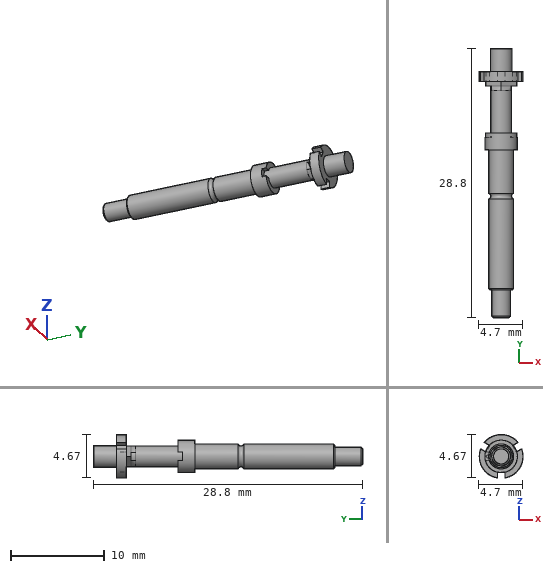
import cadquery as cq
import math

overall_length = 28.8

tip_diameter = 2.02
body_diameter = 2.68
groove_diameter = 2.25
collar_diameter = 3.48
neck_diameter = 2.25
tail_diameter = 2.33
flange_diameter = 4.7

tip_length = 3.0
tip_chamfer = 0.2
body_chamfer = 0.15
groove_start = 12.73
groove_width = 0.6
collar_front = 17.97
collar_length = 1.8
tail_length = 2.45
flange_thickness = 1.07
key_thickness = 0.5
transition_length = 0.45

collar_rear = collar_front + collar_length
flange_rear = overall_length - tail_length
flange_front = flange_rear - flange_thickness
key_front = flange_front - key_thickness
transition_front = key_front - transition_length
groove_end = groove_start + groove_width

collar_slot_width = 0.92
collar_slot_depth = 0.5

key_width = 3.35
key_height = neck_diameter

notch_count = 3
notch_width = 0.78
notch_floor_radius = 1.65
first_notch_angle = 30.0


def turned_shaft():
    """Solid of revolution from the tip to the end of the round neck."""
    tip_radius = tip_diameter / 2
    body_radius = body_diameter / 2
    collar_radius = collar_diameter / 2
    neck_radius = neck_diameter / 2
    profile = (
        cq.Workplane("XY")
        .lineTo(tip_radius - tip_chamfer, 0)
        .lineTo(tip_radius, tip_chamfer)
        .lineTo(tip_radius, tip_length)
        .lineTo(body_radius - body_chamfer, tip_length)
        .lineTo(body_radius, tip_length + body_chamfer)
        .lineTo(body_radius, groove_start)
        .threePointArc((groove_diameter / 2, groove_start + groove_width / 2), (body_radius, groove_end))
        .lineTo(body_radius, collar_front)
        .lineTo(collar_radius, collar_front)
        .lineTo(collar_radius, collar_rear)
        .lineTo(neck_radius, collar_rear)
        .lineTo(neck_radius, transition_front)
        .lineTo(0, transition_front)
        .close()
    )
    return profile.revolve(360, (0, 0), (0, 1))


def cross_section_plane(station):
    """Workplane across the axis at the given Y, extruding toward +Y, with local y along -Z."""
    return cq.Workplane(cq.Plane((0, station, 0), xDir=(1, 0, 0), normal=(0, 1, 0)))


def collar_slot():
    """Pair of slots through the collar wall on +X and -X, leaving the neck whole."""
    slot = (
        cross_section_plane(collar_rear - collar_slot_depth)
        .rect(collar_diameter, collar_slot_width)
        .extrude(collar_slot_depth)
    )
    neck = (
        cross_section_plane(collar_rear - collar_slot_depth)
        .circle(neck_diameter / 2)
        .extrude(collar_slot_depth)
    )
    return slot.cut(neck)


def notched_flange():
    """Disc with evenly spaced flat-floored notches in its rim, one pointing straight down."""
    flange = cross_section_plane(flange_front).circle(flange_diameter / 2).extrude(flange_thickness)
    notch_depth = flange_diameter / 2 - notch_floor_radius
    notch = (
        cross_section_plane(flange_front)
        .center(notch_floor_radius + notch_depth / 2, 0)
        .rect(notch_depth, notch_width)
        .extrude(flange_thickness)
    )
    for index in range(notch_count):
        angle = first_notch_angle + index * 360 / notch_count
        flange = flange.cut(notch.rotate((0, 0, 0), (0, 1, 0), -angle))
    return flange


def rhombic_key():
    """Rhombus with its long diagonal along X and its short diagonal along Z."""
    half_width = key_width / 2
    half_height = key_height / 2
    corners = [(half_width, 0), (0, half_height), (-half_width, 0), (0, -half_height)]
    return cross_section_plane(key_front).polyline(corners).close().extrude(key_thickness)


def neck_section(station, flat_sides):
    """Edges of the neck outline, split at six points, with the four stretches along the key sides flat or round."""
    radius = neck_diameter / 2
    side_normal = math.degrees(math.atan2(key_width, key_height))
    crossing = 2 * side_normal - 90
    corner_angles = [-crossing, crossing, 90, 180 - crossing, 180 + crossing, 270, 360 - crossing]

    def point(angle):
        return cq.Vector(
            radius * math.cos(math.radians(angle)),
            station,
            radius * math.sin(math.radians(angle)),
        )

    edges = []
    for index, (start, end) in enumerate(zip(corner_angles, corner_angles[1:])):
        faces_along_x = index % 3 == 0
        if flat_sides and not faces_along_x:
            edges.append(cq.Edge.makeLine(point(start), point(end)))
        else:
            edges.append(cq.Edge.makeThreePointArc(point(start), point((start + end) / 2), point(end)))
    return edges


def neck_transition():
    """Blend from the round neck to the part of its outline that lies within the rhombic key."""
    round_end = neck_section(transition_front, flat_sides=False)
    key_end = neck_section(key_front, flat_sides=True)
    faces = [cq.Face.makeRuledSurface(*pair) for pair in zip(round_end, key_end)]
    for edges in (round_end, key_end):
        faces.append(cq.Face.makeFromWires(cq.Wire.assembleEdges(edges)))
    return cq.Workplane(cq.Solid.makeSolid(cq.Shell.makeShell(faces)))


def tail():
    """Plain cylinder behind the flange."""
    return cross_section_plane(flange_rear).circle(tail_diameter / 2).extrude(tail_length)


result = (
    turned_shaft()
    .cut(collar_slot())
    .union(neck_transition())
    .union(rhombic_key())
    .union(notched_flange())
    .union(tail())
)